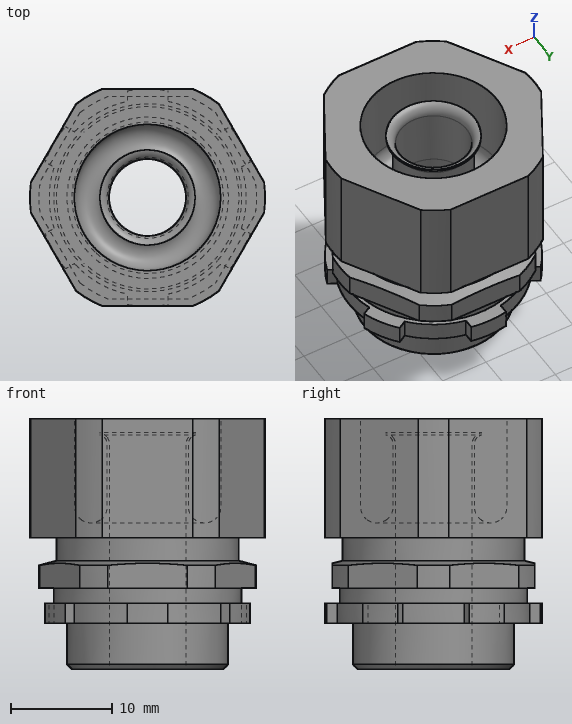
import cadquery as cq
import math

TOTAL_HEIGHT = 24.8
CAP_BOTTOM = 13.0
LOCKNUT_BOTTOM = 8.04
LOCKNUT_SIDE_TOP = 10.3
RING_TOP = 6.55
RING_BOTTOM = 4.55

CAP_FLATS = 21.5
CAP_CORNER_RADIUS = 23.29 / 2
LOCKNUT_FLATS = 20.05
LOCKNUT_CORNER_RADIUS = 10.76
LOCKNUT_CHAMFER_ANGLE = 15.0

THREAD_RADIUS = 7.99
THREAD_CHAMFER = 0.5
COLLAR_RADIUS = 9.3
NECK_RADIUS = 9.03
RING_RADIUS = 9.75

TAB_COUNT = 6
TAB_WIDTH = 4.02
TAB_TIP_RADIUS = CAP_FLATS / 2

BORE_RADIUS = 3.8
TUBE_WALL = 0.22
LIP_RADIUS = 4.7
FLARE_RADIUS = 1.17
FLARE_START = 22.3
MOUTH_RADIUS = 7.25
GROOVE_STRAIGHT_BOTTOM = 16.12


def cylinder(radius, bottom, top):
    return cq.Workplane("XY").workplane(offset=bottom).circle(radius).extrude(top - bottom)


def rounded_hexagon(flats, corner_radius, bottom, top):
    """Hexagonal prism with flats facing +Y and -Y, trimmed by a cylinder."""
    corner_diameter = flats / math.cos(math.pi / 6)
    prism = cq.Workplane("XY").workplane(offset=bottom).polygon(6, corner_diameter).extrude(top - bottom)
    return prism.intersect(cylinder(corner_radius, bottom, top))


def make_locknut():
    """Hexagon whose upper face is a shallow cone rising to the neck."""
    cone_rise = (LOCKNUT_CORNER_RADIUS - NECK_RADIUS) * math.tan(math.radians(LOCKNUT_CHAMFER_ANGLE))
    cone_top = LOCKNUT_SIDE_TOP + cone_rise
    hexagon = rounded_hexagon(LOCKNUT_FLATS, LOCKNUT_CORNER_RADIUS, LOCKNUT_BOTTOM, cone_top)
    envelope = (
        cq.Workplane("XZ")
        .polyline([
            (0, LOCKNUT_BOTTOM),
            (LOCKNUT_CORNER_RADIUS, LOCKNUT_BOTTOM),
            (LOCKNUT_CORNER_RADIUS, LOCKNUT_SIDE_TOP),
            (NECK_RADIUS, cone_top),
            (0, cone_top),
        ])
        .close()
        .revolve(360, (0, 0), (0, 1))
    )
    return hexagon.intersect(envelope)


def make_tabbed_ring():
    """Ring with parallel-sided tabs, the first one facing +Y."""
    ring = cylinder(RING_RADIUS, RING_BOTTOM, RING_TOP)
    for index in range(TAB_COUNT // 2):
        bar = (
            cq.Workplane("XY")
            .workplane(offset=RING_BOTTOM)
            .rect(TAB_WIDTH, 2 * TAB_TIP_RADIUS)
            .extrude(RING_TOP - RING_BOTTOM)
            .rotate((0, 0, 0), (0, 0, 1), index * 360 / TAB_COUNT)
        )
        ring = ring.union(bar)
    return ring.intersect(cylinder(TAB_TIP_RADIUS, RING_BOTTOM, RING_TOP))


def make_cavity():
    """Round-bottomed groove and through bore, leaving the flared tube between them."""
    tube_radius = BORE_RADIUS + TUBE_WALL
    groove_radius = (MOUTH_RADIUS - tube_radius) / 2
    groove_middle = (MOUTH_RADIUS + tube_radius) / 2
    groove = (
        cq.Workplane("XZ")
        .moveTo(0, TOTAL_HEIGHT)
        .lineTo(MOUTH_RADIUS, TOTAL_HEIGHT)
        .lineTo(MOUTH_RADIUS, GROOVE_STRAIGHT_BOTTOM)
        .threePointArc(
            (groove_middle, GROOVE_STRAIGHT_BOTTOM - groove_radius),
            (tube_radius, GROOVE_STRAIGHT_BOTTOM),
        )
        .lineTo(0, GROOVE_STRAIGHT_BOTTOM)
        .close()
        .revolve(360, (0, 0), (0, 1))
    )
    return groove.union(cylinder(BORE_RADIUS, 0, TOTAL_HEIGHT))


def make_flared_tube():
    """Thin tube whose upper end curls outwards to the lip."""
    flare_center = BORE_RADIUS + FLARE_RADIUS
    outer_flare_radius = FLARE_RADIUS - TUBE_WALL
    lip_offset = flare_center - LIP_RADIUS

    def flare_height(radius):
        return FLARE_START + math.sqrt(radius**2 - lip_offset**2)

    def flare_middle(radius):
        angle = math.pi - math.acos(lip_offset / radius) / 2
        return flare_center + radius * math.cos(angle), FLARE_START + radius * math.sin(angle)

    return (
        cq.Workplane("XZ")
        .moveTo(BORE_RADIUS, CAP_BOTTOM)
        .lineTo(BORE_RADIUS, FLARE_START)
        .threePointArc(flare_middle(FLARE_RADIUS), (LIP_RADIUS, flare_height(FLARE_RADIUS)))
        .lineTo(LIP_RADIUS, flare_height(outer_flare_radius))
        .threePointArc(flare_middle(outer_flare_radius), (BORE_RADIUS + TUBE_WALL, FLARE_START))
        .lineTo(BORE_RADIUS + TUBE_WALL, CAP_BOTTOM)
        .close()
        .revolve(360, (0, 0), (0, 1))
    )


thread = cylinder(THREAD_RADIUS, 0, RING_BOTTOM).faces("<Z").chamfer(THREAD_CHAMFER)
collar = cylinder(COLLAR_RADIUS, RING_TOP, LOCKNUT_BOTTOM)
neck = cylinder(NECK_RADIUS, LOCKNUT_SIDE_TOP, CAP_BOTTOM)
cap = rounded_hexagon(CAP_FLATS, CAP_CORNER_RADIUS, CAP_BOTTOM, TOTAL_HEIGHT)

body = thread.union(make_tabbed_ring()).union(collar).union(make_locknut()).union(neck).union(cap)
result = body.cut(make_cavity()).union(make_flared_tube())